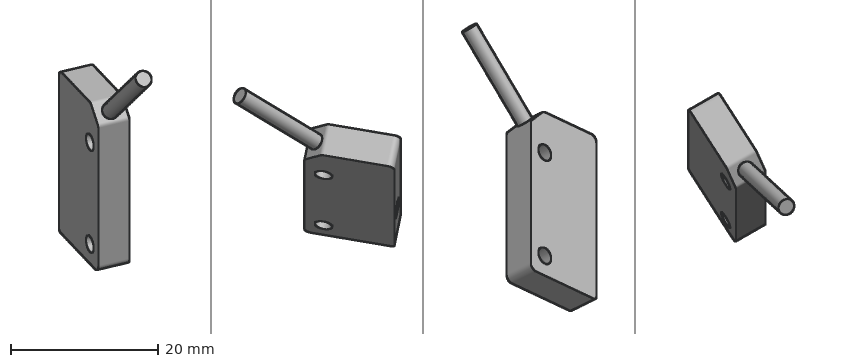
import cadquery as cq
import math

body_width = 12.5
body_height = 25.4
body_thickness = 4.75
corner_cut = 2.42
top_left_radius = 1.0
bottom_left_radius = 0.5
bottom_right_radius = 1.0
cut_edge_radius = 0.7

hole_diameter = 2.42
hole_spacing = 16.0
hole_x = 9.82
lower_hole_z = 3.1

cable_diameter = 2.3
overall_width = 22.67
cable_angle = math.radians(45)

lamp_diameter = 2.9
lamp_y = 0.4
lamp_z = 8.25
recess_depth = 0.45


def make_housing():
    block = cq.Workplane("XY").box(
        body_width, body_thickness, body_height, centered=(False, True, False)
    )
    block = block.edges(">X and >Z").chamfer(corner_cut)
    block = block.edges("<X and >Z").fillet(top_left_radius)
    block = block.edges("<X and <Z").fillet(bottom_left_radius)
    block = block.edges(">X and <Z").fillet(bottom_right_radius)
    block = block.edges("|Y and >Z").edges(">X").fillet(cut_edge_radius)
    return block.edges("|Y and >X").edges(">Z").fillet(cut_edge_radius)


def make_mounting_holes():
    centres = [(hole_x, lower_hole_z), (hole_x, lower_hole_z + hole_spacing)]
    return (
        cq.Workplane("XZ")
        .pushPoints(centres)
        .circle(hole_diameter / 2)
        .extrude(body_thickness, both=True)
    )


def make_cable():
    radius = cable_diameter / 2
    root_x = body_width - corner_cut / 2
    root_z = body_height - corner_cut / 2
    end_x = overall_width - radius * math.sin(cable_angle)
    length = (end_x - root_x) / math.cos(cable_angle)
    direction = cq.Vector(math.cos(cable_angle), 0, math.sin(cable_angle))
    return cq.Solid.makeCylinder(radius, length, cq.Vector(root_x, 0, root_z), direction)


def make_lamp_recess():
    radius = lamp_diameter / 2
    dome_radius = (radius**2 + recess_depth**2) / (2 * recess_depth)
    centre = cq.Vector(0, lamp_y, lamp_z)
    recess = cq.Solid.makeCylinder(radius, recess_depth, centre, cq.Vector(1, 0, 0))
    dome = cq.Workplane("XY").sphere(dome_radius).translate((dome_radius, lamp_y, lamp_z))
    return cq.Workplane(recess).cut(dome)


result = make_housing().union(cq.Workplane(make_cable()))
result = result.cut(make_mounting_holes()).cut(make_lamp_recess())